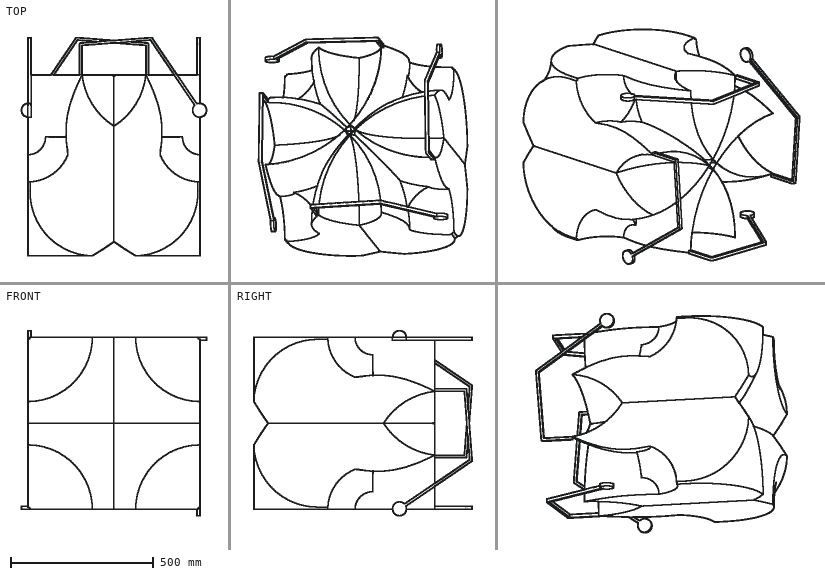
import cadquery as cq
import math

HALF_WIDTH = 302.0
LENGTH = 767.0
FRONT_Y = -LENGTH / 2
BODY_LENGTH = 636.0

BASE_RADIUS = 226.0
BORE_RADIUS = 8.0
FOOT_TOP = 228.5
DOME_BOTTOM = 260.0
DOME_RADIUS = 151.0
DOME_CENTRE = DOME_BOTTOM + DOME_RADIUS
RIM_HEIGHT = 418.0
TIP_RADIUS = 414.0
LIP_MIDDLE_HEIGHT = 455.5
BULGE_RADIUS = 469.0
BULGE_HEIGHT = 399.0
TIP_LEAN = 0.5
WAIST_HEIGHT = 50.0

BAR_WIDTH = 9.0
ARM_THICKNESS = 11.5
PAD_RADIUS = 24.5
ARM_ROOT_X = HALF_WIDTH - TIP_RADIUS - BAR_WIDTH / 2
ELBOW_HEIGHT = 743.0
SHOULDER_X = 130.0
PAD_X = 300.5
PAD_HEIGHT = 511.5

QUARTER_TURN = 90
COUNT = 4
ORIGIN = (0, 0, 0)
LONG_AXIS = (0, 1, 0)


def turned(shape, index):
    """Turn a shape about the long axis by a number of quarter turns."""
    return shape.rotate(ORIGIN, LONG_AXIS, QUARTER_TURN * index)


def full_petal():
    """Quarter of a cup-shaped solid of revolution about the -X, +Z corner edge."""
    def point(radius, height):
        return (radius - HALF_WIDTH, FRONT_Y + height)

    foot_bend = 1 - math.sqrt(0.5)
    foot_middle = point(
        BORE_RADIUS + (BASE_RADIUS - BORE_RADIUS) * foot_bend,
        FOOT_TOP * foot_bend,
    )
    dome_middle = point(
        DOME_RADIUS * math.sqrt(0.5), DOME_CENTRE - DOME_RADIUS * math.sqrt(0.5)
    )
    outer_curve = [
        point(HALF_WIDTH, WAIST_HEIGHT),
        point(BULGE_RADIUS, BULGE_HEIGHT),
        point(TIP_RADIUS, BODY_LENGTH),
    ]
    base_direction = (HALF_WIDTH - BASE_RADIUS, WAIST_HEIGHT)
    tip_direction = (-TIP_LEAN, 1)
    profile = (
        cq.Workplane("XY", origin=(0, 0, HALF_WIDTH))
        .moveTo(*point(BORE_RADIUS, DOME_BOTTOM))
        .lineTo(*point(BORE_RADIUS, FOOT_TOP))
        .threePointArc(foot_middle, point(BASE_RADIUS, 0))
        .spline(outer_curve, tangents=[base_direction, tip_direction], includeCurrent=True)
        .threePointArc(point(HALF_WIDTH, LIP_MIDDLE_HEIGHT), point(DOME_RADIUS, RIM_HEIGHT))
        .threePointArc(dome_middle, point(BORE_RADIUS, DOME_BOTTOM))
        .close()
    )
    return profile.revolve(QUARTER_TURN, (-HALF_WIDTH, 0, 0), (-HALF_WIDTH, 1, 0))


def make_petal():
    """The share of the four interlaced petals that lies in the -X, +Z quadrant."""
    quadrant = cq.Workplane("XY").box(
        HALF_WIDTH, LENGTH, HALF_WIDTH, centered=(False, True, False)
    ).translate((-HALF_WIDTH, 0, 0))
    whole = full_petal()
    petal = whole.intersect(quadrant)
    for index in range(1, COUNT):
        petal = petal.union(turned(whole, index).intersect(quadrant))
    return petal


def make_arm():
    """Bent bar ending in a round pad, lying flush with the +Z face."""
    bottom = cq.Workplane("XY", origin=(0, 0, HALF_WIDTH - ARM_THICKNESS))
    shoulder_y = LENGTH / 2 - BAR_WIDTH / 2
    path = [
        (ARM_ROOT_X, FRONT_Y + BODY_LENGTH),
        (ARM_ROOT_X, FRONT_Y + ELBOW_HEIGHT),
        (SHOULDER_X, shoulder_y),
        (PAD_X, FRONT_Y + PAD_HEIGHT),
    ]
    arm = bottom.center(PAD_X, FRONT_Y + PAD_HEIGHT).circle(PAD_RADIUS).extrude(ARM_THICKNESS)
    for (start_x, start_y), (end_x, end_y) in zip(path, path[1:]):
        length = math.hypot(end_x - start_x, end_y - start_y)
        angle = math.degrees(math.atan2(end_y - start_y, end_x - start_x))
        bar = (
            cq.Workplane("XY")
            .box(length, BAR_WIDTH, ARM_THICKNESS, centered=(False, True, False))
            .rotate(ORIGIN, (0, 0, 1), angle)
            .translate((start_x, start_y, HALF_WIDTH - ARM_THICKNESS))
        )
        arm = arm.union(bar)
    for bend_x, bend_y in path[1:-1]:
        joint = bottom.moveTo(bend_x, bend_y).circle(BAR_WIDTH / 2).extrude(ARM_THICKNESS)
        arm = arm.union(joint)
    return arm


petal = make_petal()
petals = [turned(petal, index) for index in range(COUNT)]

arm = make_arm()
arms = [turned(arm, index) for index in range(COUNT)]

result = cq.Compound.makeCompound([body.val() for body in petals + arms])